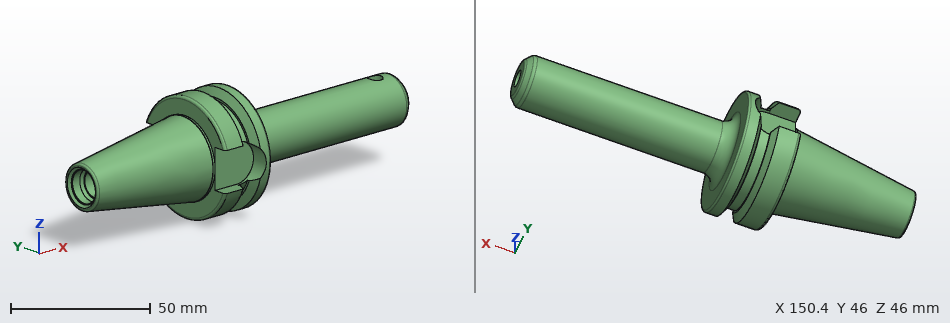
import cadquery as cq
import math

total_length = 150.4

taper_length = 48.7
gauge_diameter = 31.9
taper_ratio = 7 / 24
taper_edge_round = 0.9

flange_diameter = 46.0
flange_front = 49.6
flange_back = 70.4
flange_front_round = 1.0
flange_back_round = 0.8
groove_center = 62.0
groove_mouth_width = 7.5
groove_floor_width = 3.8
groove_floor_diameter = 37.9
groove_wall_angle = 60

slot_width = 16.2
slot_end = 68.0
slot_floor = 16.1

arbor_diameter = 19.9
root_fillet = 5.0
tip_chamfer = 2.9
tip_round = 1.8

mouth_diameter = 15.0
mouth_angle = 45
recess_diameter = 13.1
recess_depth = 1.4
counterbore_diameter = 12.5
counterbore_depth = 4.8
counterbore_floor_diameter = 11.0
counterbore_floor_angle = 30
thread_diameter = 10.1
thread_depth = 30.1
drill_tip_angle = 59
coolant_diameter = 6.3
cross_hole_diameter = 5.4
cross_hole_x = 140.6


def revolve_about_axis(profile):
    return profile.close().revolve(360, (0, 0, 0), (1, 0, 0))


def make_shank():
    gauge_radius = gauge_diameter / 2
    neck_radius = slot_floor
    small_radius = gauge_radius - taper_length * taper_ratio / 2
    profile = (
        cq.Workplane("XY")
        .lineTo(0, small_radius)
        .lineTo(taper_length, gauge_radius)
        .lineTo(taper_length, neck_radius)
        .lineTo(flange_back, neck_radius)
        .lineTo(flange_back, 0)
    )
    return revolve_about_axis(profile).faces("<X").edges().fillet(taper_edge_round)


def make_flange():
    length = flange_back - flange_front
    flange = (
        cq.Workplane("YZ", origin=(flange_front, 0, 0))
        .circle(flange_diameter / 2)
        .extrude(length)
    )
    flange = flange.faces("<X").edges().fillet(flange_front_round)
    flange = flange.faces(">X").edges().fillet(flange_back_round)
    return flange.cut(make_groove())


def make_groove():
    outer_radius = flange_diameter / 2
    half_mouth = groove_mouth_width / 2
    half_floor = groove_floor_width / 2
    wall_drop = (half_mouth - half_floor) * math.tan(math.radians(groove_wall_angle))
    wall_radius = outer_radius - wall_drop
    floor_radius = groove_floor_diameter / 2
    clear_radius = outer_radius + groove_mouth_width
    profile = (
        cq.Workplane("XY")
        .moveTo(groove_center - half_mouth, clear_radius)
        .lineTo(groove_center - half_mouth, outer_radius)
        .lineTo(groove_center - half_floor, wall_radius)
        .lineTo(groove_center - half_floor, floor_radius)
        .lineTo(groove_center + half_floor, floor_radius)
        .lineTo(groove_center + half_floor, wall_radius)
        .lineTo(groove_center + half_mouth, outer_radius)
        .lineTo(groove_center + half_mouth, clear_radius)
    )
    return revolve_about_axis(profile)


def make_drive_slot(side):
    """Round-ended slot, open toward the taper; side is -1 or +1 along Y."""
    half_width = slot_width / 2
    arc_start = slot_end - half_width
    return (
        cq.Workplane("XZ", origin=(0, side * slot_floor, 0))
        .moveTo(0, -half_width)
        .lineTo(arc_start, -half_width)
        .threePointArc((slot_end, 0), (arc_start, half_width))
        .lineTo(0, half_width)
        .close()
        .extrude(-side * flange_diameter)
    )


def make_arbor():
    arbor = (
        cq.Workplane("YZ", origin=(flange_back, 0, 0))
        .circle(arbor_diameter / 2)
        .extrude(total_length - flange_back)
    )
    selection_margin = 0.2
    tip_edges = cq.selectors.BoxSelector(
        (total_length - tip_chamfer - selection_margin, -arbor_diameter, -arbor_diameter),
        (total_length + selection_margin, arbor_diameter, arbor_diameter),
    )
    arbor = arbor.faces(">X").edges().chamfer(tip_chamfer)
    return arbor.edges(tip_edges).fillet(tip_round)


def make_root_fillet():
    arbor_radius = arbor_diameter / 2
    fillet_end = flange_back + root_fillet
    outer_radius = arbor_radius + root_fillet
    mid_offset = root_fillet * math.sin(math.radians(45))
    profile = (
        cq.Workplane("XY")
        .moveTo(flange_back, 0)
        .lineTo(flange_back, outer_radius)
        .threePointArc((fillet_end - mid_offset, outer_radius - mid_offset), (fillet_end, arbor_radius))
        .lineTo(fillet_end, 0)
    )
    return revolve_about_axis(profile)


def make_axial_bore():
    mouth_radius = mouth_diameter / 2
    counterbore_radius = counterbore_diameter / 2
    thread_radius = thread_diameter / 2
    coolant_radius = coolant_diameter / 2
    recess_radius = recess_diameter / 2
    floor_radius = counterbore_floor_diameter / 2
    mouth_depth = (mouth_radius - recess_radius) / math.tan(math.radians(mouth_angle))
    floor_cone_depth = (counterbore_radius - floor_radius) / math.tan(math.radians(counterbore_floor_angle))
    floor_depth = counterbore_depth + floor_cone_depth
    tip_depth = (thread_radius - coolant_radius) / math.tan(math.radians(drill_tip_angle))
    profile = (
        cq.Workplane("XY")
        .lineTo(0, mouth_radius)
        .lineTo(mouth_depth, recess_radius)
        .lineTo(recess_depth, recess_radius)
        .lineTo(recess_depth, counterbore_radius)
        .lineTo(counterbore_depth, counterbore_radius)
        .lineTo(floor_depth, floor_radius)
        .lineTo(floor_depth, thread_radius)
        .lineTo(thread_depth, thread_radius)
        .lineTo(thread_depth + tip_depth, coolant_radius)
        .lineTo(total_length, coolant_radius)
        .lineTo(total_length, 0)
    )
    return revolve_about_axis(profile)


def make_cross_hole():
    return (
        cq.Workplane("XY")
        .center(cross_hole_x, 0)
        .circle(cross_hole_diameter / 2)
        .extrude(arbor_diameter)
    )


result = make_flange()
for slot_side in (-1, 1):
    result = result.cut(make_drive_slot(slot_side))
result = result.union(make_shank()).union(make_arbor()).union(make_root_fillet())
result = result.cut(make_axial_bore()).cut(make_cross_hole())